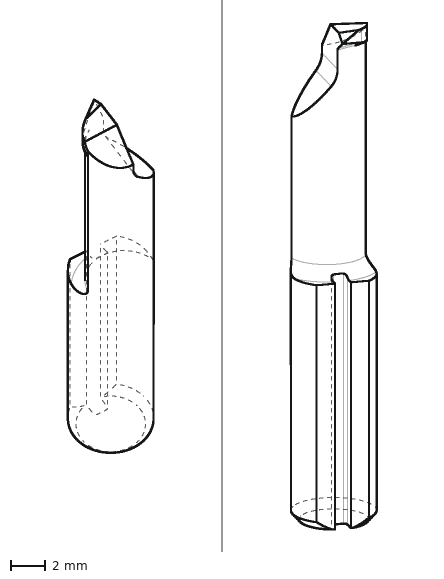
import cadquery as cq
import math

length = 30
shank_diameter = 5.0
shank_radius = shank_diameter / 2
width_across_flat = 4.45
shank_height = 15
flat_x = shank_radius - width_across_flat
bottom_chamfer_height = 0.55
bottom_chamfer_width = 0.48
slot_width = 0.95
slot_depth = 0.93
slot_corner_radius = 0.18

neck_radius = 2.28
neck_center_x = 1.47
neck_fillet = 0.8

rake_y = 0
rake_corner_z = 27.12
rake_runout_angle = 50
rake_fillet = 1.6

tip_setback = 0.1
tip_x = flat_x + tip_setback
tip_z = 29.55
head_floor_z = 28.95
head_root_fillet = 0.15
point_half_angle = 30
point_relief = 0.23
side_end = (-0.45, -1.55)
top_relief = 0.05
back_chamfer_x = 0.7

heel_x = (shank_radius**2 + neck_center_x**2 - neck_radius**2) / (2 * neck_center_x)
neck_top = (head_floor_z + tip_z) / 2

oversize = 3 * length


def cut_above(body, point, normal):
    """Remove everything on the normal side of a plane through point."""
    plane = cq.Plane(origin=point, normal=normal)
    return body.cut(cq.Workplane(plane).rect(oversize, oversize).extrude(oversize))


def make_bar():
    """Full-length round bar with a chamfered bottom."""
    bar = cq.Workplane("XY").circle(shank_radius).extrude(length)
    return bar.faces("<Z").edges().chamfer(bottom_chamfer_height, bottom_chamfer_width)


def make_neck_tool():
    """Neck cylinder that flares into the shank shoulder."""
    flare_radius = neck_radius + neck_fillet
    middle = math.sqrt(0.5)
    arc_middle = (
        flare_radius - neck_fillet * middle,
        shank_height + neck_fillet * (1 - middle),
    )
    return (
        cq.Workplane("XZ")
        .moveTo(0, shank_height)
        .lineTo(flare_radius, shank_height)
        .threePointArc(arc_middle, (neck_radius, shank_height + neck_fillet))
        .lineTo(neck_radius, neck_top)
        .lineTo(0, neck_top)
        .close()
        .revolve(360, (0, 0, 0), (0, 1, 0))
        .translate((neck_center_x, 0, 0))
    )


def make_head():
    """Pointed head with relief behind its rake face."""
    heel_y = -math.sqrt(shank_radius**2 - heel_x**2)
    half_angle = math.atan2(heel_y, heel_x) / 2
    rim_middle = (shank_radius * math.cos(half_angle), shank_radius * math.sin(half_angle))
    head = (
        cq.Workplane("XY", origin=(0, 0, head_floor_z))
        .moveTo(tip_x, rake_y)
        .lineTo(*side_end)
        .tangentArcPoint((heel_x, heel_y), relative=False)
        .threePointArc(rim_middle, (shank_radius, rake_y))
        .close()
        .extrude(length - head_floor_z)
    )
    tip = (tip_x, rake_y, tip_z)
    point_slope = math.tan(math.radians(point_half_angle))
    for side in (1, -1):
        head = cut_above(head, tip, (-point_slope, -point_relief, side))
    return cut_above(head, (0, rake_y, length), (0, -top_relief, 1))


def make_rake_cutter():
    """Material removed above the rake face and its sloped run-out."""
    cutter_top = length + shank_radius
    run = 2 * shank_radius
    drop = run * math.tan(math.radians(rake_runout_angle))
    cutter = (
        cq.Workplane("YZ", origin=(-oversize / 2, 0, 0))
        .moveTo(rake_y, cutter_top)
        .lineTo(rake_y, rake_corner_z)
        .lineTo(rake_y + run, rake_corner_z - drop)
        .lineTo(rake_y + run, cutter_top)
        .close()
        .extrude(oversize)
    )
    corner = cq.selectors.NearestToPointSelector((0, rake_y, rake_corner_z))
    return cutter.edges(corner).fillet(rake_fillet)


def make_slot():
    """Open slot along the flat with rounded floor corners."""
    floor_x = flat_x + slot_depth
    slot_top = shank_height + neck_fillet
    mouth = oversize / 2
    return (
        cq.Workplane("XY")
        .box(mouth, slot_width, slot_top, centered=(False, True, False))
        .translate((floor_x - mouth, 0, 0))
        .edges("|Z and >X")
        .fillet(slot_corner_radius)
    )


bar = make_bar()
shank = cut_above(bar, (0, 0, shank_height), (0, 0, 1))
shank = cut_above(shank, (flat_x, 0, 0), (-1, 0, 0))
neck = cut_above(make_neck_tool().intersect(bar), (flat_x, 0, 0), (-1, 0, 0))
body = shank.union(neck).cut(make_slot()).union(make_head())
body = body.cut(make_rake_cutter())
body = cut_above(body, (back_chamfer_x, rake_y, length), (1, -top_relief, 1))

root_x = neck_center_x - neck_radius
root_z = tip_z - (root_x - tip_x) * math.tan(math.radians(point_half_angle))
root_edge = cq.selectors.NearestToPointSelector((root_x, side_end[1] / 2, root_z))
result = body.edges(root_edge).fillet(head_root_fillet)